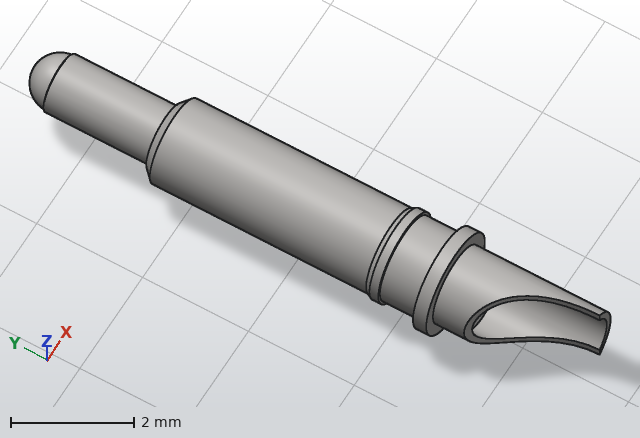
import cadquery as cq

total_length = 10.48
flange_radius = 0.938
barb_radius = 0.84
body_radius = 0.79
cup_radius = 0.72
plunger_radius = 0.53
tip_radius = 0.5

flange_start = 2.5
flange_end = 2.76
barb_start = 3.47
barb_crest_end = 3.64
barb_end = 3.73
body_end = 7.99
body_chamfer = 0.17
tip_start = total_length - tip_radius

bore_radius = 0.6
bore_depth = 1.99
cone_length = 0.35
scoop_radius = 2.23
scoop_end_x = 0.37


def revolved(profile):
    """Turn an XY half profile around the Y axis."""
    return profile.close().revolve(360, (0, 0, 0), (0, 1, 0))


def contact_blank():
    """Stepped turned body with barb, flange and round-tipped plunger."""
    arc_mid = tip_radius * 0.5**0.5
    return revolved(
        cq.Workplane("XY")
        .lineTo(cup_radius, 0)
        .lineTo(cup_radius, flange_start)
        .lineTo(flange_radius, flange_start)
        .lineTo(flange_radius, flange_end)
        .lineTo(body_radius, flange_end)
        .lineTo(body_radius, barb_start)
        .lineTo(barb_radius, barb_start)
        .lineTo(barb_radius, barb_crest_end)
        .lineTo(body_radius, barb_end)
        .lineTo(body_radius, body_end - body_chamfer)
        .lineTo(body_radius - body_chamfer, body_end)
        .lineTo(plunger_radius, body_end)
        .lineTo(plunger_radius, tip_start)
        .lineTo(tip_radius, tip_start)
        .threePointArc((arc_mid, tip_start + arc_mid), (0, total_length))
    )


def cup_bore():
    """Blind drilled bore with a conical bottom."""
    return revolved(
        cq.Workplane("XY")
        .lineTo(bore_radius, 0)
        .lineTo(bore_radius, bore_depth)
        .lineTo(0, bore_depth + cone_length)
    )


def cup_scoop():
    """Round cutter that opens the -X side of the cup, tangent to Y at the open end."""
    return (
        cq.Workplane("XY")
        .center(scoop_end_x - scoop_radius, 0)
        .circle(scoop_radius)
        .extrude(flange_radius, both=True)
    )


result = contact_blank().cut(cup_bore()).cut(cup_scoop())